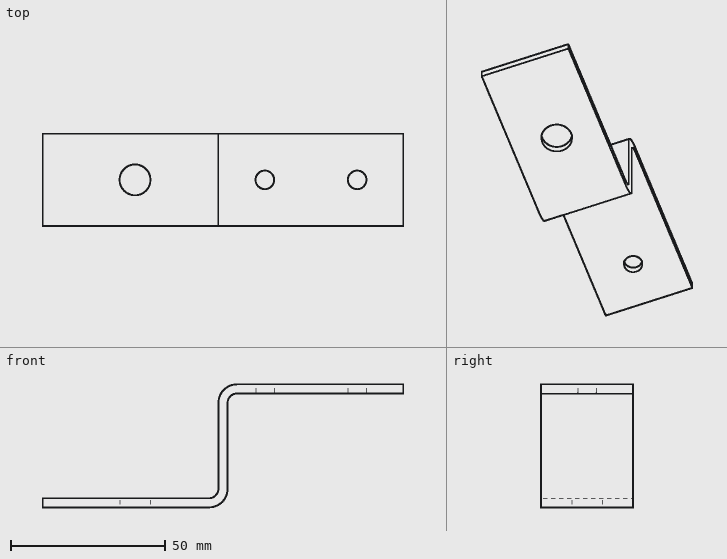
import cadquery as cq

length = 117.0
width = 30.0
height = 40.0

thickness = 3.0
inner_radius = 3.0
outer_radius = inner_radius + thickness

web_left = (length - thickness) / 2
web_right = web_left + thickness

large_hole_diameter = 10.0
large_hole_from_left = 30.0
small_hole_diameter = 6.0
outer_small_hole_from_right = 15.0
small_hole_spacing = 30.0


def bent_strip():
    """Z profile in the XZ plane, extruded symmetrically across the width."""
    lower_bend_x = web_right - outer_radius
    upper_bend_x = web_left + outer_radius
    lower_bend_z = outer_radius
    upper_bend_z = height - outer_radius
    return (
        cq.Workplane("XZ")
        .moveTo(0, 0)
        .lineTo(lower_bend_x, 0)
        .radiusArc((web_right, lower_bend_z), -outer_radius)
        .lineTo(web_right, upper_bend_z)
        .radiusArc((upper_bend_x, height - thickness), inner_radius)
        .lineTo(length, height - thickness)
        .lineTo(length, height)
        .lineTo(upper_bend_x, height)
        .radiusArc((web_left, upper_bend_z), -outer_radius)
        .lineTo(web_left, lower_bend_z)
        .radiusArc((lower_bend_x, thickness), inner_radius)
        .lineTo(0, thickness)
        .close()
        .extrude(width / 2, both=True)
    )


def hole_cutter(x, diameter):
    """Vertical cylinder on the centre line, through the full height."""
    return cq.Workplane("XY").center(x, 0).circle(diameter / 2).extrude(height)


outer_small_hole_x = length - outer_small_hole_from_right
inner_small_hole_x = outer_small_hole_x - small_hole_spacing

result = bent_strip().cut(hole_cutter(large_hole_from_left, large_hole_diameter))
for hole_x in (inner_small_hole_x, outer_small_hole_x):
    result = result.cut(hole_cutter(hole_x, small_hole_diameter))